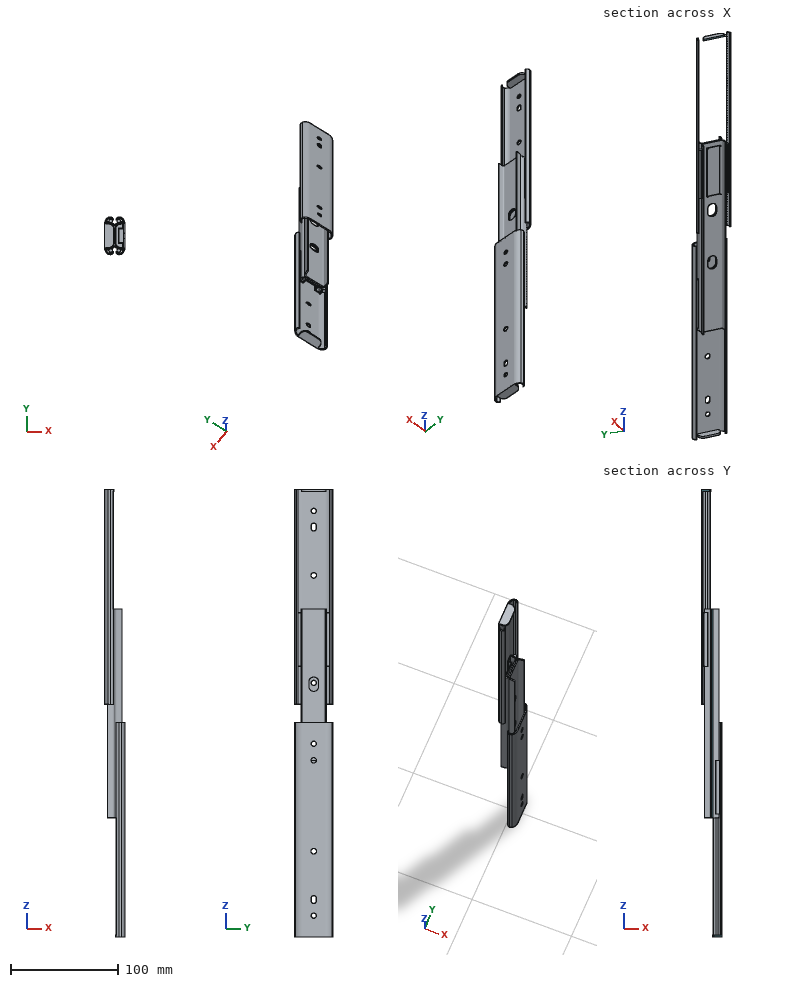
import cadquery as cq
import math

TOTAL_LENGTH = 417.0
TOTAL_DEPTH = 19.0
TOTAL_WIDTH = 35.5
SHEET = 1.3

RAIL_LENGTH = 200.0
RAIL_BOTTOM = TOTAL_LENGTH - RAIL_LENGTH
RAIL_DEPTH = 8.5
RAIL_HALF_WIDTH = TOTAL_WIDTH / 2
RAIL_WEB_HALF_WIDTH = 11.3
RAIL_SHOULDER = (3.13, 17.0)
RAIL_SHOULDER_MIDDLE = (1.05, 14.5)
RAIL_CREST_X = 5.5
RAIL_LIP_MIDDLE = (7.0, 17.0)
RAIL_LIP_HALF_WIDTH = 16.0

SCREW_HOLE_DIAMETER = 4.5
SCREW_HOLE_END_DISTANCE = 20.0
SCREW_HOLE_OFFSETS = (SCREW_HOLE_END_DISTANCE, RAIL_LENGTH - SCREW_HOLE_END_DISTANCE)
FIXING_HOLE_DIAMETER = 5.0
FIXING_HOLE_OFFSETS = (80.0, 164.7)
SLOT_OFFSET = 35.0
SLOT_LENGTH = 7.0

STOP_THICKNESS = 2.0
STOP_REACH = 8.8
STOP_CORNER_RADIUS = 5.0

MIDDLE_LENGTH = 194.7
MIDDLE_BOTTOM = (TOTAL_LENGTH - MIDDLE_LENGTH) / 2
MIDDLE_WEB_X = TOTAL_DEPTH / 2
MIDDLE_LIP_X = 2.7
MIDDLE_LIP_HALF_WIDTH = 12.0
MIDDLE_LIP_EDGE_X = 3.8
MIDDLE_WEB_HALF_WIDTH = 11.5
MIDDLE_CORNER_RADIUS = 2.5
ACCESS_SLOT_WIDTH = 9.0
ACCESS_SLOT_LENGTH = 13.5
ACCESS_SLOT_FROM_CENTRE = 27.0

CAGE_LENGTH = 50.0
CAGE_BOTTOM = 252.3
CAGE_SHEET = 1.0
CAGE_WEB_X = 6.0
CAGE_WEB_HALF_WIDTH = 6.5
CAGE_BRIM_X = 2.0
CAGE_BRIM_HALF_WIDTH = 12.5
BALL_ROW_X = 6.0
BALL_ROW_Y = 13.8
BALL_ROW_RADIUS = 1.75


def bent_channel(outline, lip_side, lip_x, length):
    """Sheet inside a closed outline, cut open beyond lip_x towards +X (lip_side 1) or -X (-1)."""
    outer_wire = outline.val()
    inner_wire = outer_wire.offset2D(-SHEET)[0]
    outer = cq.Workplane("XY").add(outer_wire).toPending().extrude(length)
    inner = cq.Workplane("XY").add(inner_wire).toPending().extrude(length)
    opening = (
        cq.Workplane("XY")
        .center(lip_x + lip_side * TOTAL_DEPTH / 2, 0)
        .rect(TOTAL_DEPTH, 2 * TOTAL_WIDTH)
        .extrude(length)
    )
    return outer.cut(inner).cut(opening)


def slot(width, length, z):
    """Cutter along X for a slot whose long side runs along Z."""
    return cq.Workplane("YZ").center(0, z).slot2D(length, width, 90).extrude(TOTAL_DEPTH)


def round_hole(diameter, z):
    """Cutter along X for a round hole."""
    return cq.Workplane("YZ").center(0, z).circle(diameter / 2).extrude(TOTAL_DEPTH)


def make_end_stop():
    """Tab across the outer end of the rail, with rounded free corners."""
    return (
        cq.Workplane("XY")
        .box(STOP_REACH, 2 * RAIL_WEB_HALF_WIDTH, STOP_THICKNESS, centered=(False, True, False))
        .edges("|Z and >X")
        .fillet(STOP_CORNER_RADIUS)
        .translate((0, 0, TOTAL_LENGTH - STOP_THICKNESS))
    )


def make_rail():
    """Upper rail with its end stop and mounting holes."""
    shoulder_x, shoulder_y = RAIL_SHOULDER
    bend_x, bend_y = RAIL_SHOULDER_MIDDLE
    lip_x, lip_y = RAIL_LIP_MIDDLE
    closed_x = RAIL_DEPTH + 2 * SHEET
    outline = (
        cq.Workplane("XY")
        .moveTo(0, -RAIL_WEB_HALF_WIDTH)
        .lineTo(0, RAIL_WEB_HALF_WIDTH)
        .threePointArc((bend_x, bend_y), (shoulder_x, shoulder_y))
        .lineTo(RAIL_CREST_X, RAIL_HALF_WIDTH)
        .threePointArc((lip_x, lip_y), (RAIL_DEPTH, RAIL_LIP_HALF_WIDTH))
        .lineTo(closed_x, RAIL_LIP_HALF_WIDTH)
        .lineTo(closed_x, -RAIL_LIP_HALF_WIDTH)
        .lineTo(RAIL_DEPTH, -RAIL_LIP_HALF_WIDTH)
        .threePointArc((lip_x, -lip_y), (RAIL_CREST_X, -RAIL_HALF_WIDTH))
        .lineTo(shoulder_x, -shoulder_y)
        .threePointArc((bend_x, -bend_y), (0, -RAIL_WEB_HALF_WIDTH))
        .close()
    )
    rail = bent_channel(outline, 1, RAIL_DEPTH, RAIL_LENGTH)
    rail = rail.translate((0, 0, RAIL_BOTTOM))
    rail = rail.union(make_end_stop())
    for offset in SCREW_HOLE_OFFSETS:
        rail = rail.cut(round_hole(SCREW_HOLE_DIAMETER, TOTAL_LENGTH - offset))
    for offset in FIXING_HOLE_OFFSETS:
        rail = rail.cut(round_hole(FIXING_HOLE_DIAMETER, TOTAL_LENGTH - offset))
    return rail.cut(slot(SCREW_HOLE_DIAMETER, SLOT_LENGTH, TOTAL_LENGTH - SLOT_OFFSET))


def make_middle():
    """Middle channel next to the upper rail, with its two access slots."""
    closed_x = MIDDLE_LIP_X - 2 * SHEET
    bend_x = MIDDLE_WEB_X - MIDDLE_CORNER_RADIUS
    bend_y = MIDDLE_WEB_HALF_WIDTH - MIDDLE_CORNER_RADIUS
    diagonal = MIDDLE_CORNER_RADIUS * math.sqrt(0.5)
    outline = (
        cq.Workplane("XY")
        .moveTo(MIDDLE_WEB_X, -bend_y)
        .lineTo(MIDDLE_WEB_X, bend_y)
        .threePointArc((bend_x + diagonal, bend_y + diagonal), (bend_x, MIDDLE_WEB_HALF_WIDTH))
        .lineTo(MIDDLE_LIP_EDGE_X, MIDDLE_LIP_HALF_WIDTH)
        .lineTo(closed_x, MIDDLE_LIP_HALF_WIDTH)
        .lineTo(closed_x, -MIDDLE_LIP_HALF_WIDTH)
        .lineTo(MIDDLE_LIP_EDGE_X, -MIDDLE_LIP_HALF_WIDTH)
        .lineTo(bend_x, -MIDDLE_WEB_HALF_WIDTH)
        .threePointArc((bend_x + diagonal, -bend_y - diagonal), (MIDDLE_WEB_X, -bend_y))
        .close()
    )
    middle = bent_channel(outline, -1, MIDDLE_LIP_X, MIDDLE_LENGTH)
    middle = middle.translate((0, 0, MIDDLE_BOTTOM))
    for side in (-1, 1):
        z = TOTAL_LENGTH / 2 + side * ACCESS_SLOT_FROM_CENTRE
        middle = middle.cut(slot(ACCESS_SLOT_WIDTH, ACCESS_SLOT_LENGTH, z))
    return middle


def make_cage():
    """Ball cage inside the upper rail."""
    strip = (
        cq.Workplane("XY")
        .moveTo(BALL_ROW_X, -BALL_ROW_Y)
        .lineTo(CAGE_BRIM_X, -CAGE_BRIM_HALF_WIDTH)
        .lineTo(CAGE_BRIM_X, -CAGE_WEB_HALF_WIDTH)
        .lineTo(CAGE_WEB_X, -CAGE_WEB_HALF_WIDTH)
        .lineTo(CAGE_WEB_X, CAGE_WEB_HALF_WIDTH)
        .lineTo(CAGE_BRIM_X, CAGE_WEB_HALF_WIDTH)
        .lineTo(CAGE_BRIM_X, CAGE_BRIM_HALF_WIDTH)
        .lineTo(BALL_ROW_X, BALL_ROW_Y)
        .wire()
        .offset2D(CAGE_SHEET / 2)
        .extrude(CAGE_LENGTH)
    )
    ball_rows = (
        cq.Workplane("XY")
        .pushPoints([(BALL_ROW_X, -BALL_ROW_Y), (BALL_ROW_X, BALL_ROW_Y)])
        .circle(BALL_ROW_RADIUS)
        .extrude(CAGE_LENGTH)
    )
    return strip.union(ball_rows).translate((0, 0, CAGE_BOTTOM))


def opposite(body):
    """The same body on the other half: half a turn about the Y line through the centre."""
    centre = (TOTAL_DEPTH / 2, 0, TOTAL_LENGTH / 2)
    above_centre = (TOTAL_DEPTH / 2, 1, TOTAL_LENGTH / 2)
    return body.rotate(centre, above_centre, 180)


bodies = []
for body in (make_rail(), make_middle(), make_cage()):
    bodies.append(body.solids().val())
    bodies.append(opposite(body).solids().val())

result = cq.Compound.makeCompound(bodies)